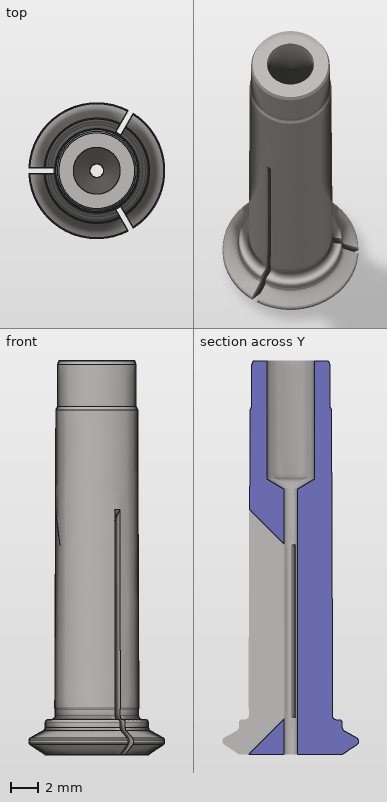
import cadquery as cq
import math

length = 29.0

neck_radius = 2.9
neck_chamfer_width = 0.12
neck_chamfer_height = 0.3
shoulder_top = 25.65
shoulder_bottom = 25.38

body_top_radius = 3.02
body_radius = 3.1
relief_top = 3.45
relief_bottom = 3.34
relief_radius = 3.07

collar_radius = 3.8
collar_top = 2.58
collar_bottom = 2.0
collar_round = 0.2
body_root_round = 0.32
collar_root_width = 0.1
collar_root_height = 0.2

flange_radius = 10.0 / 2
flange_edge_radius = 4.93
flange_rim_top = 1.22
flange_rim_bottom = 0.75
flange_rim_round = 0.12
foot_radius = 3.8

socket_radius = 3.45 / 2
socket_depth = 8.7
cone_angle = 118.0
bore_radius = 1.0 / 2

slot_count = 3
slot_width = 0.44
slot_top = 18.1
slot_foot_radius = 3.15
first_slot_angle = 180.0


def make_collet():
    """Revolve the outer shape about the Z axis."""
    root_z = collar_top + body_root_round
    root_radius = relief_radius + body_root_round
    arc_reach = 1 - math.sqrt(0.5)
    profile = (
        cq.Workplane("XZ")
        .lineTo(foot_radius, 0)
        .lineTo(flange_edge_radius, flange_rim_bottom)
        .lineTo(flange_radius, flange_rim_bottom + flange_rim_round)
        .lineTo(flange_radius, flange_rim_top - flange_rim_round)
        .lineTo(flange_edge_radius, flange_rim_top)
        .lineTo(collar_radius + collar_root_width, collar_bottom - collar_root_height)
        .lineTo(collar_radius, collar_bottom)
        .lineTo(collar_radius, collar_top - collar_round)
        .threePointArc(
            (collar_radius - arc_reach * collar_round, collar_top - arc_reach * collar_round),
            (collar_radius - collar_round, collar_top),
        )
        .lineTo(root_radius, collar_top)
        .threePointArc(
            (relief_radius + arc_reach * body_root_round, collar_top + arc_reach * body_root_round),
            (relief_radius, root_z),
        )
        .lineTo(relief_radius, relief_bottom)
        .lineTo(body_radius, relief_top)
        .lineTo(body_top_radius, shoulder_bottom)
        .lineTo(neck_radius, shoulder_top)
        .lineTo(neck_radius, length - neck_chamfer_height)
        .lineTo(neck_radius - neck_chamfer_width, length)
        .lineTo(0, length)
        .close()
    )
    return profile.revolve(360, (0, 0, 0), (0, 1, 0))


def make_bore():
    """Wide socket from the top, a cone, and a narrow bore through the bottom."""
    socket_floor = length - socket_depth
    cone_height = (socket_radius - bore_radius) / math.tan(math.radians(cone_angle / 2))
    profile = (
        cq.Workplane("XZ")
        .lineTo(bore_radius, 0)
        .lineTo(bore_radius, socket_floor - cone_height)
        .lineTo(socket_radius, socket_floor)
        .lineTo(socket_radius, length)
        .lineTo(0, length)
        .close()
    )
    return profile.revolve(360, (0, 0, 0), (0, 1, 0))


def make_slot(angle):
    """Slot from the axis outward, opening at 45 degrees at both ends."""
    outside = 2 * flange_radius
    profile = (
        cq.Workplane("XZ")
        .moveTo(slot_foot_radius, 0)
        .lineTo(0, slot_foot_radius)
        .lineTo(0, slot_top - body_radius)
        .lineTo(outside, slot_top - body_radius + outside)
        .lineTo(outside, 0)
        .close()
    )
    slot = profile.extrude(slot_width / 2, both=True)
    return slot.rotate((0, 0, 0), (0, 0, 1), angle)


result = make_collet().cut(make_bore())
for index in range(slot_count):
    result = result.cut(make_slot(first_slot_angle + index * 360 / slot_count))